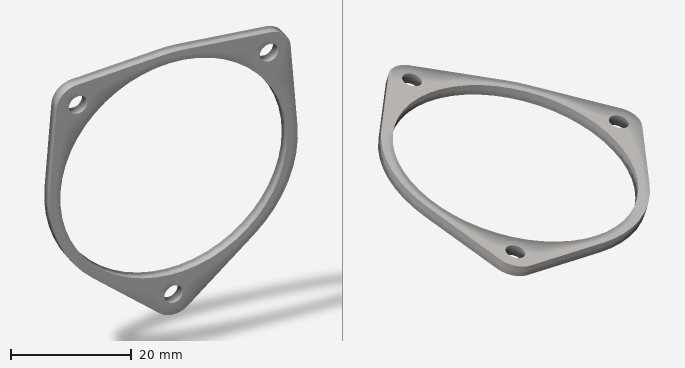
import cadquery as cq
import math

thickness = 2.0
bore_diameter = 42.0
rim_radius = 23.0
ear_radius = 4.0
screw_hole_diameter = 3.4
screw_circle_radius = 25.0
ear_angles = [45.0, 135.0, 270.0]

tangent_angle = math.degrees(math.acos((rim_radius - ear_radius) / screw_circle_radius))


def polar(radius, angle, center=(0.0, 0.0)):
    """Point at a radius and an angle in degrees around a center."""
    turn = math.radians(angle)
    return (center[0] + radius * math.cos(turn), center[1] + radius * math.sin(turn))


def make_plate():
    """Outline of rim arcs and rounded ears joined by tangent sides."""
    outline = cq.Workplane("YZ").moveTo(*polar(rim_radius, ear_angles[0] - tangent_angle))
    next_angles = ear_angles[1:] + [ear_angles[0] + 360.0]
    for angle, next_angle in zip(ear_angles, next_angles):
        ear_center = polar(screw_circle_radius, angle)
        rim_start = angle + tangent_angle
        rim_end = next_angle - tangent_angle
        outline = (
            outline
            .lineTo(*polar(ear_radius, angle - tangent_angle, ear_center))
            .threePointArc(
                polar(ear_radius, angle, ear_center),
                polar(ear_radius, angle + tangent_angle, ear_center),
            )
            .lineTo(*polar(rim_radius, rim_start))
            .threePointArc(
                polar(rim_radius, (rim_start + rim_end) / 2),
                polar(rim_radius, rim_end),
            )
        )
    return outline.close().extrude(thickness)


def make_openings():
    """Central bore and one screw hole through each ear."""
    bore = cq.Workplane("YZ").circle(bore_diameter / 2).extrude(thickness)
    hole_centers = [polar(screw_circle_radius, angle) for angle in ear_angles]
    screw_holes = (
        cq.Workplane("YZ")
        .pushPoints(hole_centers)
        .circle(screw_hole_diameter / 2)
        .extrude(thickness)
    )
    return bore.union(screw_holes)


result = make_plate().cut(make_openings())